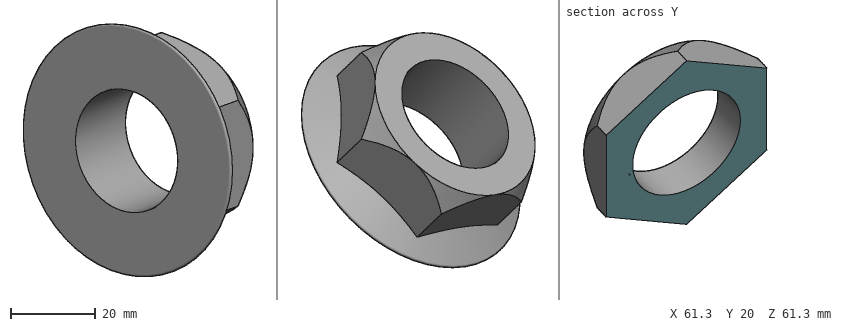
import cadquery as cq
import math

height = 20.0
across_flats = 45.0
hexagon_sides = 6
bore_diameter = 30.0
flange_diameter = 61.33

rim_radius = 0.5
flange_angle = 28.0

chamfer_face_diameter = across_flats
chamfer_angle = 60.0

corner_radius = across_flats / 2 / math.cos(math.pi / hexagon_sides)


def revolve_about_y(profile):
    """Revolve a closed profile in the XY plane about the nut axis, Y."""
    return profile.close().revolve(360, (0, 0, 0), (0, 1, 0))


def make_hexagon():
    """Hexagonal prism along +Y with flats facing +X and -X and corners on the Z axis."""
    corners = []
    for index in range(hexagon_sides):
        angle = math.pi / 2 + index * 2 * math.pi / hexagon_sides
        corners.append((corner_radius * math.cos(angle), corner_radius * math.sin(angle)))
    return cq.Workplane("XZ").polyline(corners).close().extrude(-height)


def make_chamfer_envelope():
    """Cone-topped cylinder that trims the corners of the hexagon's free end."""
    face_radius = chamfer_face_diameter / 2
    chamfer_drop = (corner_radius - face_radius) * math.tan(math.radians(chamfer_angle))
    profile = (
        cq.Workplane("XY")
        .lineTo(corner_radius, 0)
        .lineTo(corner_radius, height - chamfer_drop)
        .lineTo(face_radius, height)
        .lineTo(0, height)
    )
    return revolve_about_y(profile)


def make_flange():
    """Conical flange with a rounded rim, its flat seating face at Y = 0."""
    slope = math.radians(flange_angle)
    rim_center_radius = flange_diameter / 2 - rim_radius
    tangent_radius = rim_center_radius + rim_radius * math.sin(slope)
    tangent_height = rim_radius + rim_radius * math.cos(slope)
    inner_radius = bore_diameter / 2
    inner_height = tangent_height + (tangent_radius - inner_radius) * math.tan(slope)
    profile = (
        cq.Workplane("XY")
        .lineTo(rim_center_radius, 0)
        .threePointArc((flange_diameter / 2, rim_radius), (tangent_radius, tangent_height))
        .lineTo(inner_radius, inner_height)
        .lineTo(0, inner_height)
    )
    return revolve_about_y(profile)


def make_bore():
    """Through hole along Y."""
    return cq.Workplane("XZ").circle(bore_diameter / 2).extrude(-height)


nut_body = make_hexagon().intersect(make_chamfer_envelope())
result = nut_body.union(make_flange()).cut(make_bore())